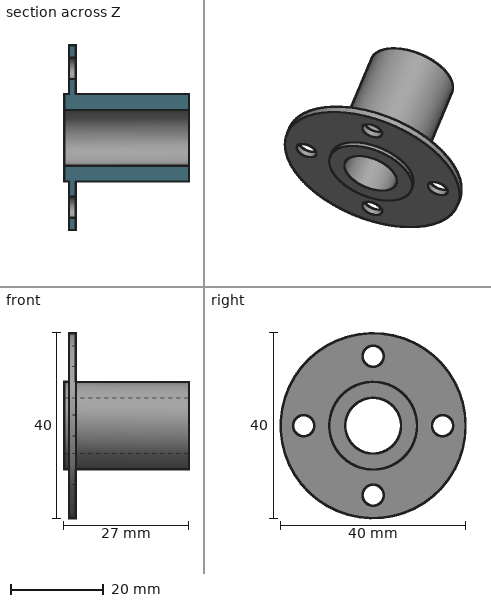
import cadquery as cq

flange_diameter = 40.0
flange_thickness = 1.5

sleeve_length = 27.0
sleeve_diameter = 18.9
bore_diameter = 12.0

spigot_length = 1.0
land_length = 0.05
hub_diameter = 19.0
hub_length = spigot_length + flange_thickness + land_length

hole_count = 4
hole_diameter = 4.5
bolt_circle_diameter = 30.0


def cylinder_along_x(start, length, diameter):
    return cq.Workplane("YZ", origin=(start, 0, 0)).circle(diameter / 2).extrude(length)


sleeve = cylinder_along_x(0, sleeve_length, sleeve_diameter)
hub = cylinder_along_x(0, hub_length, hub_diameter)
flange = cylinder_along_x(spigot_length, flange_thickness, flange_diameter)
bore = cylinder_along_x(0, sleeve_length, bore_diameter)

mounting_holes = (
    cq.Workplane("YZ", origin=(spigot_length, 0, 0))
    .polarArray(bolt_circle_diameter / 2, 0, 360, hole_count)
    .circle(hole_diameter / 2)
    .extrude(flange_thickness)
)

result = sleeve.union(hub).union(flange).cut(bore).cut(mounting_holes)